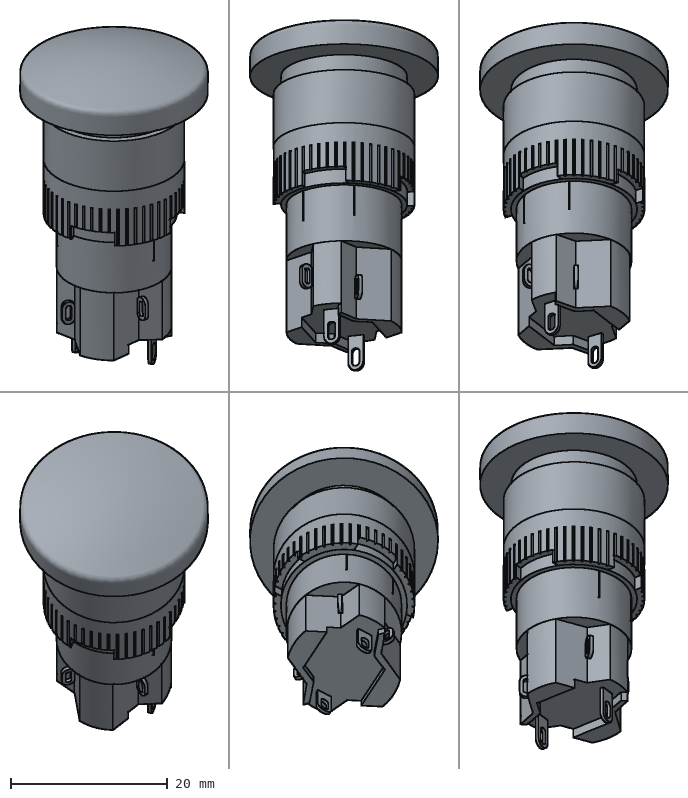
import cadquery as cq
import math


RECESS_ROOF_Z = 4.65
BLOCK_BOTTOM_Z = 3.35
BLOCK_TOP_Z = 13.1
SLEEVE_BOTTOM_Z = 20.7
NOTCH_TOP_Z = 22.6
GROOVE_TOP_Z = 25.9
NUT_TOP_Z = 28.55
FLANGE_TOP_Z = 35.75
HEAD_BOTTOM_Z = 38.15
BUTTON_TOP_Z = 43.5

HEAD_RADIUS = 24 / 2
STEM_RADIUS = 16.1 / 2
DOME_RADIUS = 35.4
HEAD_EDGE_RADIUS = 0.8
RIM_MARGIN = 0.1

FLANGE_RADIUS = 18 / 2
SLEEVE_RADIUS = 16.1 / 2
BODY_RADIUS = 14.7 / 2
LATCH_HALF_WIDTH = 3.4
LATCH_SLIT_WIDTH = 0.1
LATCH_SLIT_DEPTH = 0.4
LATCH_BOTTOM_Z = 16.65

NUT_RADIUS = FLANGE_RADIUS
GROOVE_COUNT = 50
FIRST_GROOVE_ANGLE = -90
GROOVE_ANGLE = 60
GROOVE_DEPTH = 0.26
SPANNER_NOTCH_WIDTH = 5.8

BLOCK_RADIUS = BODY_RADIUS
FLUTE_CORNER = (4.3, 3.0)
FLUTE_Y_LEG = (2.25, 7.0)
FLUTE_X_LEG = (7.12, 1.87)
FLUTE_REACH = 10.0
RECESS_CORNER = (3.55, 2.4)
RECESS_WALL_END = (6.5, 1.3)
RECESS_HALF_LENGTH = 4.57
RECESS_WALL_TOP_X = 2.5

LUG_ANGLE = math.degrees(math.atan2(FLUTE_CORNER[1], FLUTE_CORNER[0]))
LUG_HEIGHT = 3.2
LUG_WIDTH = 1.7
LUG_THICKNESS = 0.5
LUG_HOLE_HEIGHT = 2.1
LUG_HOLE_WIDTH = 0.75
LUG_CENTRE_RADIUS = 6.1
LOW_LUG_Z = 7.4
HIGH_LUG_Z = 9.6

TERMINAL_X = 5.12
TERMINAL_WIDTH = 2.0
TERMINAL_THICKNESS = 0.45
TERMINAL_HOLE_WIDTH = 1.0
TERMINAL_HOLE_HEIGHT = 2.4
TERMINAL_HOLE_Z = 1.75


def cylinder(radius, bottom, top):
    return cq.Workplane("XY").workplane(offset=bottom).circle(radius).extrude(top - bottom)


def block_between(x_size, y_size, bottom, top):
    return cq.Workplane("XY").workplane(offset=bottom).rect(x_size, y_size).extrude(top - bottom)


def prism(points, bottom, top):
    return cq.Workplane("XY").workplane(offset=bottom).polyline(points).close().extrude(top - bottom)


def make_button():
    """Domed head with a rounded rim on a short stem."""
    rim_z = BUTTON_TOP_Z - DOME_RADIUS + math.sqrt(DOME_RADIUS**2 - HEAD_RADIUS**2)
    mid_radius = HEAD_RADIUS / 2
    mid_z = BUTTON_TOP_Z - DOME_RADIUS + math.sqrt(DOME_RADIUS**2 - mid_radius**2)
    head = (
        cq.Workplane("XZ")
        .moveTo(0, HEAD_BOTTOM_Z)
        .lineTo(HEAD_RADIUS, HEAD_BOTTOM_Z)
        .lineTo(HEAD_RADIUS, rim_z)
        .threePointArc((mid_radius, mid_z), (0, BUTTON_TOP_Z))
        .close()
        .revolve(360, (0, 0), (0, 1))
    )
    rim = cq.selectors.BoxSelector(
        (-2 * HEAD_RADIUS, -2 * HEAD_RADIUS, rim_z - RIM_MARGIN),
        (2 * HEAD_RADIUS, 2 * HEAD_RADIUS, rim_z + RIM_MARGIN),
    )
    head = head.edges(rim).edges("%CIRCLE").fillet(HEAD_EDGE_RADIUS)
    return head.union(cylinder(STEM_RADIUS, FLANGE_TOP_Z, HEAD_BOTTOM_Z))


def latch_slits():
    """Narrow upright slits that part a latch tongue on the +X and -X sides of the housing body."""
    height = SLEEVE_BOTTOM_Z - LATCH_BOTTOM_Z
    edge_x = math.sqrt(BODY_RADIUS**2 - LATCH_HALF_WIDTH**2)
    centres = [(x, y) for x in (edge_x, -edge_x) for y in (LATCH_HALF_WIDTH, -LATCH_HALF_WIDTH)]
    return (
        cq.Workplane("XY")
        .workplane(offset=LATCH_BOTTOM_Z)
        .pushPoints(centres)
        .rect(2 * LATCH_SLIT_DEPTH, LATCH_SLIT_WIDTH)
        .extrude(height)
    )


def make_housing():
    """Flange, nut sleeve and round body, stepped down in that order."""
    housing = cylinder(FLANGE_RADIUS, NUT_TOP_Z, FLANGE_TOP_Z)
    housing = housing.union(cylinder(SLEEVE_RADIUS, SLEEVE_BOTTOM_Z, NUT_TOP_Z))
    housing = housing.union(cylinder(BODY_RADIUS, BLOCK_TOP_Z, SLEEVE_BOTTOM_Z))
    return housing.cut(latch_slits())


def grip_groove():
    """Upright V groove at angle zero; its outline is carried out past the nut surface."""
    half_base = 2 * GROOVE_DEPTH * math.tan(math.radians(GROOVE_ANGLE / 2))
    points = [
        (NUT_RADIUS - GROOVE_DEPTH, 0),
        (NUT_RADIUS + GROOVE_DEPTH, -half_base),
        (NUT_RADIUS + GROOVE_DEPTH, half_base),
    ]
    return prism(points, SLEEVE_BOTTOM_Z, GROOVE_TOP_Z)


def make_nut():
    """Ring nut with V grooves round its lower part and four spanner notches."""
    nut = cylinder(NUT_RADIUS, SLEEVE_BOTTOM_Z, NUT_TOP_Z)
    nut = nut.cut(cylinder(SLEEVE_RADIUS, SLEEVE_BOTTOM_Z, NUT_TOP_Z))
    groove = grip_groove()
    for index in range(GROOVE_COUNT):
        angle = FIRST_GROOVE_ANGLE + index * 360 / GROOVE_COUNT
        nut = nut.cut(groove.rotate((0, 0, 0), (0, 0, 1), angle))
    span = 2 * NUT_RADIUS
    nut = nut.cut(block_between(span, SPANNER_NOTCH_WIDTH, SLEEVE_BOTTOM_Z, NOTCH_TOP_Z))
    return nut.cut(block_between(SPANNER_NOTCH_WIDTH, span, SLEEVE_BOTTOM_Z, NOTCH_TOP_Z))


def flute_cutter(x_sign, y_sign):
    """V-shaped flute in one corner; its walls carry on straight past the rim of the block."""
    def extended(rim_point):
        dx = rim_point[0] - FLUTE_CORNER[0]
        dy = rim_point[1] - FLUTE_CORNER[1]
        stretch = FLUTE_REACH / math.hypot(dx, dy)
        return (FLUTE_CORNER[0] + stretch * dx, FLUTE_CORNER[1] + stretch * dy)

    outline = [FLUTE_CORNER, extended(FLUTE_Y_LEG), (FLUTE_REACH, FLUTE_REACH), extended(FLUTE_X_LEG)]
    points = [(x_sign * x, y_sign * y) for x, y in outline]
    return prism(points, BLOCK_BOTTOM_Z, BLOCK_TOP_Z)


def recess_cutter():
    """Terminal recess, open through both X legs and two opposite flutes, and alike after a half turn."""
    end_slope = (FLUTE_X_LEG[1] - RECESS_WALL_END[1]) / (FLUTE_X_LEG[0] - RECESS_WALL_END[0])
    run_out_y = RECESS_WALL_END[1] + end_slope * (FLUTE_REACH - RECESS_WALL_END[0])
    half = [
        (FLUTE_REACH, -RECESS_HALF_LENGTH),
        (FLUTE_REACH, run_out_y),
        RECESS_WALL_END,
        RECESS_CORNER,
        (RECESS_WALL_TOP_X, RECESS_HALF_LENGTH),
    ]
    points = half + [(-x, -y) for x, y in half]
    return prism(points, BLOCK_BOTTOM_Z, RECESS_ROOF_Z)


def make_lug(angle, height):
    """Upright slotted plate in a radial plane, standing out from a flute corner."""
    lug = (
        cq.Workplane("XZ")
        .center(LUG_CENTRE_RADIUS, height)
        .slot2D(LUG_HEIGHT, LUG_WIDTH, 90)
        .slot2D(LUG_HOLE_HEIGHT, LUG_HOLE_WIDTH, 90)
        .extrude(LUG_THICKNESS / 2, both=True)
    )
    return lug.rotate((0, 0, 0), (0, 0, 1), angle)


def make_contact_block():
    """Block with four flutes that leave a leg on each axis, with a slotted lug in each flute."""
    block = cylinder(BLOCK_RADIUS, BLOCK_BOTTOM_Z, BLOCK_TOP_Z)
    for x_sign in (1, -1):
        for y_sign in (1, -1):
            block = block.cut(flute_cutter(x_sign, y_sign))
    block = block.cut(recess_cutter())
    for half_turn in (0, 180):
        block = block.union(make_lug(half_turn + LUG_ANGLE, LOW_LUG_Z))
        block = block.union(make_lug(half_turn - LUG_ANGLE, HIGH_LUG_Z))
    return block


def make_terminal(x):
    """Flat blade with a round end and a slotted eye, hanging from the recess roof."""
    end_radius = TERMINAL_WIDTH / 2
    blade = (
        cq.Workplane("YZ")
        .moveTo(-end_radius, RECESS_ROOF_Z)
        .lineTo(-end_radius, end_radius)
        .threePointArc((0, 0), (end_radius, end_radius))
        .lineTo(end_radius, RECESS_ROOF_Z)
        .close()
        .extrude(TERMINAL_THICKNESS / 2, both=True)
    )
    eye = (
        cq.Workplane("YZ")
        .center(0, TERMINAL_HOLE_Z)
        .slot2D(TERMINAL_HOLE_HEIGHT, TERMINAL_HOLE_WIDTH, 90)
        .extrude(TERMINAL_THICKNESS, both=True)
    )
    return blade.cut(eye).translate((x, 0, 0))


button = make_button()
housing = make_housing()
nut = make_nut()
contact_block = make_contact_block()
terminals = [make_terminal(x) for x in (-TERMINAL_X, TERMINAL_X)]

result = cq.Compound.makeCompound([
    button.val(),
    housing.val(),
    nut.val(),
    contact_block.val(),
    *[terminal.val() for terminal in terminals],
])